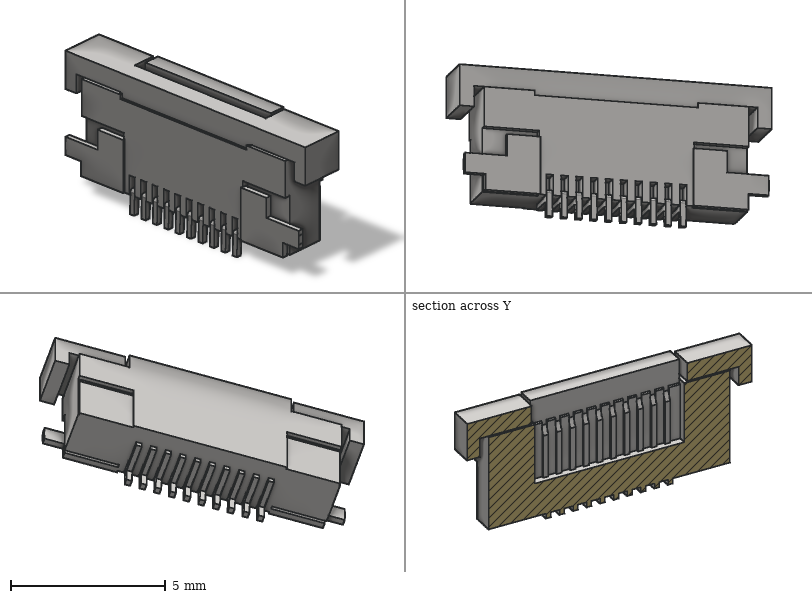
import cadquery as cq
import math


housing_width = 8.9
housing_depth = 1.81
shoulder_top = 3.48
centre_top = 3.32
tongue_width = 5.5
tongue_front = 0.29
housing_front = -housing_depth / 2
housing_back = housing_depth / 2

cover_width = 10.5
cover_depth = 1.62
cover_top = 4.2
cover_underside = 3.51
cover_leg_width = 0.48
cover_leg_bottom = 2.81
notch_width = 5.73
cover_front = -cover_depth / 2

slot_front = -0.08
slot_back = 0.23
slot_floor = 1.26
lead_in_height = 0.03

recess_inner_x = 2.6
recess_height = 2.14
front_recess_depth = 0.23
back_recess_depth = 0.14
tab_inner_x = 2.57
tab_outer_x = 4.42
tab_upper_x = 3.7
tab_wing_x = 5.1
tab_top = 1.92
tab_wing_top = 1.2
tab_wing_bottom = 0.54
stub_top = 1.02
stub_bottom = 0.69
stub_length = 0.01
tab_thickness = 0.2
tab_protrusion = 0.06
back_tab_thickness = 0.068

contact_count = 10
contact_row_span = 4.49
contact_pitch = contact_row_span / (contact_count - 1)
contact_width = 0.19
lead_groove_width = 0.23
lead_groove_height = 0.69
lead_groove_depth = 0.47
lead_bottom = -0.7
lead_thickness = 0.2
arm_back = 0.34
arm_bottom = -0.19
arm_top = 0.19
bend_inset = 0.026
bend_radius = 0.09
contact_tip_front = 0.15
contact_tip_top = 3.15
contact_tip_slope_height = 0.32
contact_xs = [i * contact_pitch - contact_row_span / 2 for i in range(contact_count)]


def block(x_range, y_range, z_range):
    """Box spanning the given (low, high) ranges."""
    (x0, x1), (y0, y1), (z0, z1) = x_range, y_range, z_range
    return cq.Workplane("XY").box(x1 - x0, y1 - y0, z1 - z0, centered=False).translate((x0, y0, z0))


def centred(width):
    """X range of a feature centred on the connector."""
    return (-width / 2, width / 2)


def both_ends(shape):
    """The shape together with its mirror image at the other end of the connector."""
    return shape.union(shape.mirror("YZ"))


def make_housing():
    body = block(centred(housing_width), (housing_front, housing_back), (0, shoulder_top))
    centre = block(centred(tongue_width), (housing_front, tongue_front), (centre_top, shoulder_top))
    tongue = block(centred(tongue_width), (tongue_front, housing_back), (0, cover_top))
    recess_x = (recess_inner_x, housing_width / 2)
    recess_z = (0, recess_height)
    front_recess = block(recess_x, (housing_front, housing_front + front_recess_depth), recess_z)
    back_recess = block(recess_x, (housing_back - back_recess_depth, housing_back), recess_z)
    return body.cut(centre).union(tongue).cut(both_ends(front_recess.union(back_recess)))


def make_cover():
    cover_y = (cover_front, -cover_front)
    bar = block(centred(cover_width), cover_y, (cover_underside, cover_top))
    leg_x = (cover_width / 2 - cover_leg_width, cover_width / 2)
    leg = block(leg_x, cover_y, (cover_leg_bottom, cover_top))
    notch = block(centred(notch_width), (slot_front, -cover_front), (cover_underside, cover_top))
    blade = block(centred(notch_width), (cover_front, slot_front), (centre_top, cover_top))
    return bar.union(both_ends(leg)).cut(notch).union(blade)


def make_solder_tabs():
    front = housing_front - tab_protrusion
    front_tab = (
        cq.Workplane("XZ", origin=(0, front, 0))
        .moveTo(tab_inner_x, 0)
        .lineTo(tab_outer_x, 0)
        .lineTo(tab_outer_x, tab_wing_bottom)
        .lineTo(tab_wing_x, tab_wing_bottom)
        .lineTo(tab_wing_x, tab_wing_top)
        .lineTo(tab_upper_x, tab_wing_top)
        .lineTo(tab_upper_x, tab_top)
        .lineTo(tab_inner_x, tab_top)
        .close()
        .extrude(-tab_thickness)
    )
    stub_x = (tab_wing_x, tab_wing_x + stub_length)
    stub = block(stub_x, (front, front + tab_thickness), (stub_bottom, stub_top))
    back_tab_front = housing_back - back_recess_depth
    back_tab_y = (back_tab_front, back_tab_front + back_tab_thickness)
    back_tab = block((tab_inner_x, tab_outer_x), back_tab_y, (0, tab_top))
    return both_ends(front_tab.union(stub).union(back_tab))


def contact_plane(x):
    """YZ sketch plane through the middle of the contact at x."""
    return cq.Workplane("YZ", origin=(x, 0, 0))


def make_lead(x):
    """Arm along the housing underside that turns down into a slightly slanted solder leg."""
    lead_back = housing_front + lead_thickness
    bend_front = housing_front + bend_inset
    bend_middle = bend_radius * (1 - math.sqrt(0.5))
    return (
        contact_plane(x)
        .moveTo(arm_back, arm_bottom)
        .lineTo(arm_back, arm_top)
        .lineTo(bend_front + bend_radius, arm_top)
        .threePointArc((bend_front + bend_middle, arm_top - bend_middle), (bend_front, arm_top - bend_radius))
        .lineTo(housing_front, lead_bottom)
        .lineTo(lead_back, lead_bottom)
        .lineTo(lead_back + bend_inset, arm_bottom)
        .close()
        .extrude(contact_width / 2, both=True)
    )


def make_contact_tip(x):
    """Contact beam against the back of the cable slot, with a sloped top that guides the cable in."""
    outline = [
        (contact_tip_front, slot_floor),
        (contact_tip_front, contact_tip_top - contact_tip_slope_height),
        (tongue_front, contact_tip_top),
        (tongue_front, slot_floor),
    ]
    return contact_plane(x).polyline(outline).close().extrude(contact_width / 2, both=True)


def make_cable_slot():
    """Slot for the cable, with a sloped lead-in under the front of the tongue."""
    outline = [
        (slot_front, slot_floor),
        (slot_back, slot_floor),
        (slot_back, centre_top - lead_in_height),
        (tongue_front, centre_top),
        (tongue_front, cover_top),
        (slot_front, cover_top),
    ]
    return cq.Workplane("YZ").polyline(outline).close().extrude(tongue_width / 2, both=True)


def make_groove(x, width, y_range, z_range):
    return block((x - width / 2, x + width / 2), y_range, z_range)


result = make_housing().union(make_cover()).cut(make_cable_slot()).union(make_solder_tabs())

lead_groove_y = (housing_front, housing_front + lead_groove_depth)
for x in contact_xs:
    lead_groove = make_groove(x, lead_groove_width, lead_groove_y, (0, lead_groove_height))
    tip_groove = make_groove(x, contact_width, (slot_back, tongue_front), (slot_floor, centre_top))
    result = result.cut(lead_groove).cut(tip_groove).union(make_lead(x)).union(make_contact_tip(x))